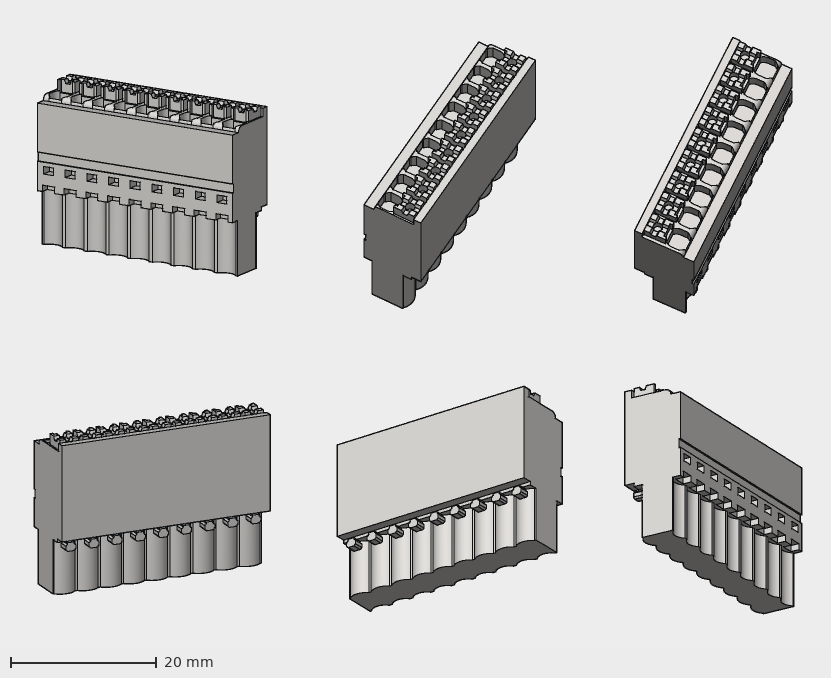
import cadquery as cq
import math


POLE_COUNT = 9
POLE_PITCH = 3.5
FIRST_POLE_X = 1.85
POLES_X = [FIRST_POLE_X + i * POLE_PITCH for i in range(POLE_COUNT)]
PLUG_SHIFT_X = -0.05

LENGTH = 31.55
DEPTH = 9.0
FRONT_BOTTOM_Z = 7.9
BACK_BOTTOM_Z = 8.4
BACK_STEP_Y = 7.5
SHELF_Z = 20.35
DECK_Z = 21.15
BEAD_RADIUS = DECK_Z - SHELF_Z
BEAD_FRONT_Y = 1.55
RIDGE_Z = 22.33
RIDGE_Y = 7.85
GROOVE_BOTTOM_Z = 12.08
GROOVE_TOP_Z = 13.37
GROOVE_DEPTH = 0.25

LEG_FRONT_Y = 1.25
LEG_BACK_Y = 6.15
SCALLOP_WIDTH = 3.0
SCALLOP_DEPTH = 0.73
BULGE_WIDTH = 3.15
BULGE_HEIGHT = 0.63

TAB_BACK_Y = 8.2
TAB_NECK_WIDTH = 1.0
TAB_HEAD_WIDTH = 1.5
TAB_HEIGHT = 1.25
TAB_NECK_HEIGHT = 0.22
TAB_CHAMFER = (TAB_HEAD_WIDTH - TAB_NECK_WIDTH) / 2

WINDOW_WIDTH = 1.58
WINDOW_BOTTOM_Z = 10.4
WINDOW_TOP_Z = 11.48
WINDOW_DEPTH = 1.58
NOTCH_WIDTH = 1.92
NOTCH_TOP_Z = 8.8

BUTTON_WIDTH = 2.8
BUTTON_FRONT_Y = 4.55
BUTTON_BACK_Y = 7.75
BUTTON_TOP_Z = 22.7
BUTTON_BOTTOM_Z = 14.82
RECESS_WIDTH = 2.0
RECESS_DEPTH = 0.4
RECESS_FLOOR_Z = 20.88
CROSS_Y = 6.35
CROSS_TOP_WIDTH = 1.15
CROSS_FLOOR_WIDTH = 0.65
CROSS_DEPTH = 0.55
TOOL_HOLE_DIAMETER = 1.3
TOOL_HOLE_DEPTH = 1.9

ENTRY_Y = 3.1
ENTRY_RADIUS = 1.58
ENTRY_WIDTH = 2.9
ENTRY_BACK_WIDTH = 2.05
ENTRY_BACK_CURVE_Y = 3.53
ENTRY_FRONT_Y = 1.67
ENTRY_NECK_WIDTH = RECESS_WIDTH
ENTRY_FLOOR_Z = 19.02


def box(x_center, width, y0, y1, z0, z1):
    """Box centred on x_center, spanning y0 to y1 and z0 to z1."""
    return cq.Workplane("XY").box(width, y1 - y0, z1 - z0, centered=(True, False, False)).translate(
        (x_center, y0, z0)
    )


def segment_prism(x_center, chord_y, width, rise, height):
    """Upright prism on a circle segment: a chord along X with its arc rising toward +Y."""
    half = width / 2
    return (
        cq.Workplane("XY")
        .moveTo(x_center - half, chord_y)
        .threePointArc((x_center, chord_y + rise), (x_center + half, chord_y))
        .close()
        .extrude(height)
    )


def housing_body():
    """Side outline with the rounded front bead, the back ridge and the leg, drawn along X."""
    bead_mid_y = BEAD_FRONT_Y + BEAD_RADIUS * (1 - math.sqrt(0.5))
    bead_mid_z = SHELF_Z + BEAD_RADIUS * math.sqrt(0.5)
    return (
        cq.Workplane("YZ")
        .moveTo(LEG_FRONT_Y, 0)
        .lineTo(LEG_BACK_Y, 0)
        .lineTo(LEG_BACK_Y, FRONT_BOTTOM_Z)
        .lineTo(BACK_STEP_Y, FRONT_BOTTOM_Z)
        .lineTo(BACK_STEP_Y, BACK_BOTTOM_Z)
        .lineTo(DEPTH, BACK_BOTTOM_Z)
        .lineTo(DEPTH, RIDGE_Z)
        .lineTo(RIDGE_Y, RIDGE_Z)
        .lineTo(RIDGE_Y, DECK_Z)
        .lineTo(BEAD_FRONT_Y + BEAD_RADIUS, DECK_Z)
        .threePointArc((bead_mid_y, bead_mid_z), (BEAD_FRONT_Y, SHELF_Z))
        .lineTo(0, SHELF_Z)
        .lineTo(0, GROOVE_TOP_Z)
        .lineTo(GROOVE_DEPTH, GROOVE_TOP_Z)
        .lineTo(GROOVE_DEPTH, GROOVE_BOTTOM_Z)
        .lineTo(0, GROOVE_BOTTOM_Z)
        .lineTo(0, FRONT_BOTTOM_Z)
        .lineTo(LEG_FRONT_Y, FRONT_BOTTOM_Z)
        .close()
        .extrude(LENGTH)
    )


def back_bulge(x):
    """Rounded bulge of one pole along the back of the leg."""
    return segment_prism(x, LEG_BACK_Y, BULGE_WIDTH, BULGE_HEIGHT, FRONT_BOTTOM_Z)


def coding_tab(x):
    """Bar along Y with a neck and a wider chamfered head, hanging under the back of the housing."""
    neck = TAB_NECK_WIDTH / 2
    head = TAB_HEAD_WIDTH / 2
    bottom_z = FRONT_BOTTOM_Z - TAB_HEIGHT
    neck_z = FRONT_BOTTOM_Z - TAB_NECK_HEIGHT
    right_side = [
        (neck, FRONT_BOTTOM_Z),
        (neck, neck_z),
        (head, neck_z - TAB_CHAMFER),
        (head, bottom_z + TAB_CHAMFER),
        (neck, bottom_z),
    ]
    left_side = [(-dx, z) for dx, z in reversed(right_side)]
    return (
        cq.Workplane("XZ", origin=(x, LEG_BACK_Y, 0))
        .polyline(right_side + left_side)
        .close()
        .extrude(LEG_BACK_Y - TAB_BACK_Y)
    )


def front_cutouts(x):
    """Window, bottom-edge notch and leg scallop of one pole, centred on x."""
    window = box(x, WINDOW_WIDTH, 0, WINDOW_DEPTH, WINDOW_BOTTOM_Z, WINDOW_TOP_Z)
    notch = box(x, NOTCH_WIDTH, 0, LEG_FRONT_Y, FRONT_BOTTOM_Z, NOTCH_TOP_Z)
    scallop = segment_prism(x, LEG_FRONT_Y, SCALLOP_WIDTH, SCALLOP_DEPTH, FRONT_BOTTOM_Z)
    return [window, notch, scallop]


def wire_entry(x):
    """Shaft with a round front, flat sides and curved back corners, squared off at the front."""
    height = DECK_Z - ENTRY_FLOOR_Z
    side = ENTRY_WIDTH / 2
    back = ENTRY_BACK_WIDTH / 2
    front_half = (
        cq.Workplane("XY", origin=(x, ENTRY_Y, ENTRY_FLOOR_Z))
        .circle(ENTRY_RADIUS)
        .extrude(height)
        .intersect(box(x, ENTRY_WIDTH, ENTRY_FRONT_Y, ENTRY_Y, ENTRY_FLOOR_Z, DECK_Z))
    )
    back_half = (
        cq.Workplane("XY", origin=(x, 0, ENTRY_FLOOR_Z))
        .moveTo(0, ENTRY_Y)
        .lineTo(side, ENTRY_Y)
        .lineTo(side, ENTRY_BACK_CURVE_Y)
        .tangentArcPoint((back, BUTTON_FRONT_Y), relative=False)
        .lineTo(0, BUTTON_FRONT_Y)
        .mirrorY()
        .extrude(height)
    )
    neck = box(x, ENTRY_NECK_WIDTH, ENTRY_FRONT_Y, ENTRY_Y, ENTRY_FLOOR_Z, DECK_Z)
    return front_half.union(back_half).union(neck)


def button_block(x, top_z):
    """Plain block of one button; also the shape of its slot in the housing."""
    return box(x, BUTTON_WIDTH, BUTTON_FRONT_Y, BUTTON_BACK_Y, BUTTON_BOTTOM_Z, top_z)


def cross_groove(plane, origin, length):
    """Tapered groove along the plane's normal, open at the top of the button."""
    return (
        cq.Workplane(plane, origin=origin)
        .polyline([
            (-CROSS_TOP_WIDTH / 2, 0),
            (-CROSS_FLOOR_WIDTH / 2, -CROSS_DEPTH),
            (CROSS_FLOOR_WIDTH / 2, -CROSS_DEPTH),
            (CROSS_TOP_WIDTH / 2, 0),
        ])
        .close()
        .extrude(length / 2, both=True)
    )


def make_button(x):
    """Push button with a recessed front, a cross of two grooves and a tool hole on top."""
    center = (x, CROSS_Y, BUTTON_TOP_Z)
    recess_back_y = BUTTON_FRONT_Y + RECESS_DEPTH
    recess = box(x, RECESS_WIDTH, BUTTON_FRONT_Y, recess_back_y, RECESS_FLOOR_Z, BUTTON_TOP_Z)
    groove_length = 2 * (BUTTON_BACK_Y - BUTTON_FRONT_Y)
    tool_hole = (
        cq.Workplane("XY", origin=center).circle(TOOL_HOLE_DIAMETER / 2).extrude(-TOOL_HOLE_DEPTH)
    )
    return (
        button_block(x, BUTTON_TOP_Z)
        .cut(recess)
        .cut(cross_groove("XZ", center, groove_length))
        .cut(cross_groove("YZ", center, groove_length))
        .cut(tool_hole)
    )


def make_housing():
    """One-piece housing with all pole features."""
    housing = housing_body()
    for x in POLES_X:
        plug_x = x + PLUG_SHIFT_X
        housing = housing.union(back_bulge(plug_x)).union(coding_tab(plug_x))
        for cutout in front_cutouts(plug_x):
            housing = housing.cut(cutout)
        housing = housing.cut(wire_entry(x))
        housing = housing.cut(button_block(x, DECK_Z))
    return housing


housing = make_housing()
buttons = [make_button(x) for x in POLES_X]

result = cq.Compound.makeCompound([housing.val(), *[button.val() for button in buttons]])